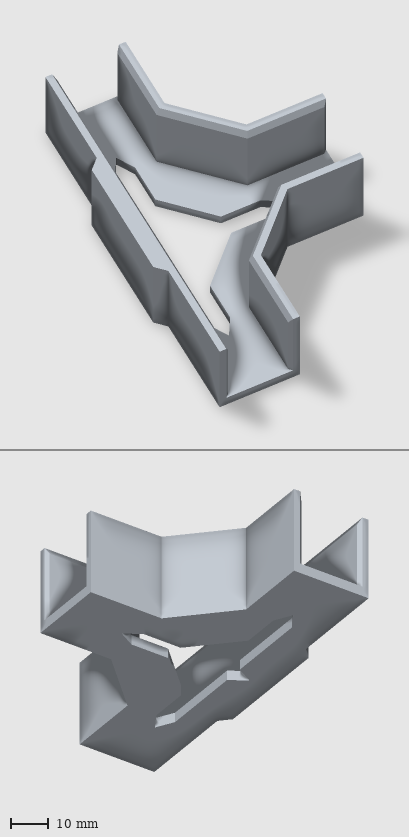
import cadquery as cq

ARM_LENGTH = 51.0
CHANNEL_WIDTH = 24.0
HALF_WIDTH = CHANNEL_WIDTH / 2
INNER_CORNER_START = 27.0
WALL = 3.0
FLOOR = 3.0
CORNER_WALL_HEIGHT = 26.0
FRONT_WALL_HEIGHT = 25.0

BEVEL_WIDTH = 1.0
BEVEL_DEPTH = 2.0
END_BEVEL_LENGTH = 1.0

PAD_THICKNESS = 3.0
PAD_HALF_LENGTH = 18.0

SLOT_HALF_WIDTH = 3.0
SLOT_TIP = 33.0
POINT_LENGTH = 5.2
WEB_END = 16.0

TAN_22_5 = 2 ** 0.5 - 1
CORNER_START = INNER_CORNER_START + WALL * TAN_22_5


def prism(points, bottom, top):
    return cq.Workplane("XY").workplane(offset=bottom).polyline(points).close().extrude(top - bottom)


def mirrored(points):
    """Append the reflection of the points in the YZ plane, closing the outline symmetrically."""
    return points + [(-x, y) for x, y in reversed(points) if x != 0]


def corner_line(inset):
    """Corner wall line on the +X side, moved inwards by inset from the outer face."""
    edge = HALF_WIDTH - inset
    bend = CORNER_START - inset * TAN_22_5
    return [(ARM_LENGTH, edge), (bend, edge), (edge, bend), (edge, ARM_LENGTH)]


def corner_plan(thickness):
    return corner_line(0) + corner_line(thickness)[::-1]


def front_plan(thickness):
    inner = thickness - HALF_WIDTH
    return mirrored([(ARM_LENGTH, -HALF_WIDTH), (ARM_LENGTH, inner)])


def bevelled_wall(plan, height):
    """Wall standing on the base plane, thinned on its inner side towards the top."""
    shoulder = height - BEVEL_DEPTH
    body = prism(plan(WALL), 0, shoulder)
    crest = (
        cq.Workplane("XY")
        .workplane(offset=shoulder)
        .polyline(plan(WALL))
        .close()
        .workplane(offset=BEVEL_DEPTH)
        .polyline(plan(WALL - BEVEL_WIDTH))
        .close()
        .loft(ruled=True)
    )
    return body.union(crest)


def end_mouth(angle):
    """Tapered cutter that widens the open end of the arm pointing along the given angle."""
    inner = HALF_WIDTH - WALL
    start = ARM_LENGTH - END_BEVEL_LENGTH
    mouth = inner + BEVEL_WIDTH
    plan = [(start, -inner), (ARM_LENGTH, -mouth), (ARM_LENGTH, mouth), (start, inner)]
    return prism(plan, FLOOR, CORNER_WALL_HEIGHT).rotate((0, 0, 0), (0, 0, 1), angle)


def floor_plate():
    right_side = [(ARM_LENGTH, -HALF_WIDTH)] + corner_line(0)
    return prism(mirrored(right_side), 0, FLOOR)


def front_pad():
    face = -HALF_WIDTH - PAD_THICKNESS
    root = PAD_HALF_LENGTH + PAD_THICKNESS
    return prism(mirrored([(PAD_HALF_LENGTH, face), (root, -HALF_WIDTH)]), 0, FRONT_WALL_HEIGHT)


def floor_opening():
    shoulder = SLOT_TIP - POINT_LENGTH
    right_side = [
        (0, -SLOT_HALF_WIDTH - POINT_LENGTH),
        (SLOT_HALF_WIDTH, -SLOT_HALF_WIDTH),
        (shoulder, -SLOT_HALF_WIDTH),
        (SLOT_TIP, 0),
        (shoulder, SLOT_HALF_WIDTH),
        (WEB_END, SLOT_HALF_WIDTH),
        (SLOT_HALF_WIDTH, WEB_END),
        (SLOT_HALF_WIDTH, shoulder),
        (0, SLOT_TIP),
    ]
    return prism(mirrored(right_side), 0, FLOOR)


corner_wall = bevelled_wall(corner_plan, CORNER_WALL_HEIGHT)
front_wall = bevelled_wall(front_plan, FRONT_WALL_HEIGHT)

result = floor_plate().union(corner_wall).union(corner_wall.mirror("YZ"))
result = result.union(front_wall).union(front_pad())
for arm_angle in (0, 90, 180):
    result = result.cut(end_mouth(arm_angle))
result = result.cut(floor_opening()).clean()